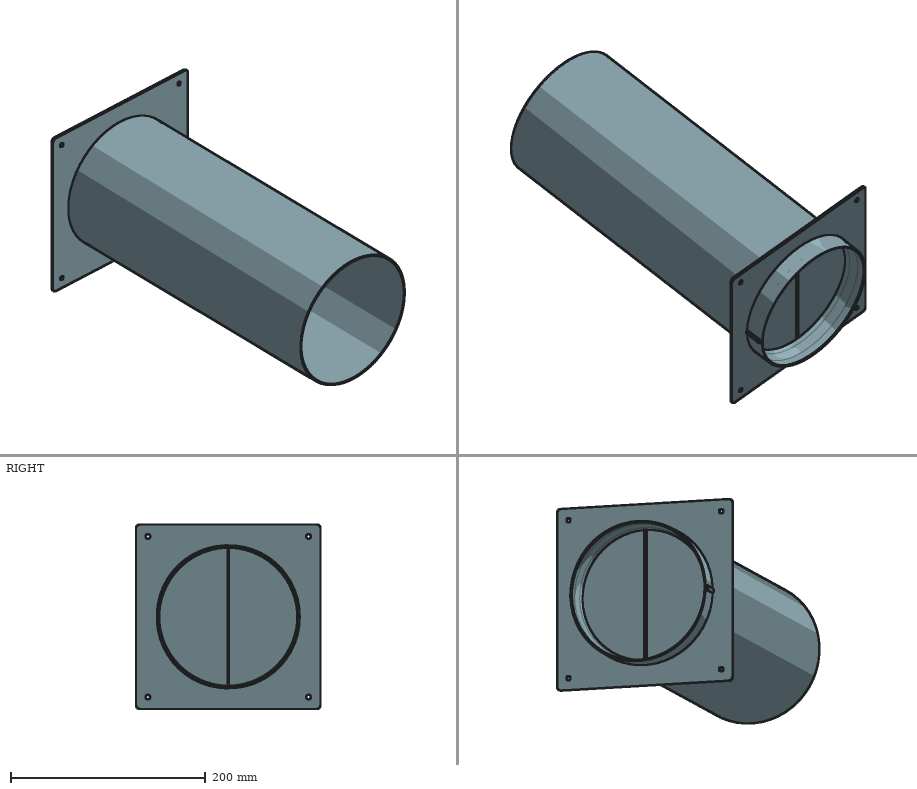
import cadquery as cq

total_length = 374
flange_side = 190.0

plate_front = 22.0
plate_thickness = 2.2
plate_back = plate_front + plate_thickness
corner_radius = 4.0
screw_hole_diameter = 4.5
screw_hole_spacing = 165.3

tube_radius = 73.5
tube_wall = 1.5
tube_inner_radius = tube_radius - tube_wall

collar_front_radius = 73.3
collar_root_radius = 73.5

rim_chamfer_width = 1.0
rim_chamfer_depth = 0.7
mouth_radius = 71.8
mouth_depth = 9.5
bend_radius = 69.5
bend_depth = 19.0
seat_radius = 68.0

ridge_radius = 3.0
ridge_height = 1.3
ridge_front = 0.7
ridge_lead_length = 3.5
ridge_tip_radius = 2.0
ridge_axis_offset = collar_root_radius + ridge_height - ridge_radius

flap_radius = 71
flap_thickness = 2.2
flap_edge_chamfer = 1.3
flap_gap = 0.7


def disc(radius, front, back):
    """Round disc about the X axis, between two X positions."""
    return cq.Workplane("YZ", origin=(front, 0, 0)).circle(radius).extrude(back - front)


def make_plate():
    plate = (
        cq.Workplane("YZ", origin=(plate_front, 0, 0))
        .rect(flange_side, flange_side)
        .extrude(plate_thickness)
        .edges("|X")
        .fillet(corner_radius)
    )
    holes = (
        cq.Workplane("YZ", origin=(plate_front, 0, 0))
        .rect(screw_hole_spacing, screw_hole_spacing, forConstruction=True)
        .vertices()
        .circle(screw_hole_diameter / 2)
        .extrude(plate_thickness)
    )
    return plate.cut(holes)


def make_collar():
    """Slightly tapered collar before it is bored out."""
    outline = [(0, 0), (0, collar_front_radius), (plate_front, collar_root_radius), (plate_front, 0)]
    return cq.Workplane("XZ").polyline(outline).close().revolve(360, (0, 0, 0), (1, 0, 0))


def make_ridge(side):
    """Round locking ridge along X with a tapered lead-in; side is +1 or -1 along Y."""
    ridge_start = ridge_front + ridge_lead_length
    outline = [
        (ridge_front, 0),
        (ridge_front, ridge_tip_radius),
        (ridge_start, ridge_radius),
        (plate_front, ridge_radius),
        (plate_front, 0),
    ]
    ridge = cq.Workplane("XZ").polyline(outline).close().revolve(360, (0, 0, 0), (1, 0, 0))
    return ridge.translate((0, side * ridge_axis_offset, 0))


def make_bore():
    """Opening through collar and plate: chamfered straight mouth, then two tangent arcs down to the seat."""
    return (
        cq.Workplane("XZ")
        .lineTo(0, mouth_radius + rim_chamfer_width)
        .lineTo(rim_chamfer_depth, mouth_radius)
        .lineTo(mouth_depth, mouth_radius)
        .tangentArcPoint((bend_depth, bend_radius), relative=False)
        .tangentArcPoint((plate_back, seat_radius), relative=False)
        .lineTo(plate_back, 0)
        .close()
        .revolve(360, (0, 0, 0), (1, 0, 0))
    )


def make_flange():
    flange = make_plate().union(make_collar())
    for side in (1, -1):
        flange = flange.union(make_ridge(side))
    return flange.cut(make_bore())


def make_tube():
    return disc(tube_radius, plate_back, total_length).cut(disc(tube_inner_radius, plate_back, total_length))


def make_flap(side):
    """Half disc with its straight edge chamfered in front; side is +1 or -1 along Y."""
    flap_back = plate_back + flap_thickness
    edge = flap_gap / 2
    profile = [
        (plate_back, side * (edge + flap_edge_chamfer)),
        (plate_back + flap_edge_chamfer, side * edge),
        (flap_back, side * edge),
        (flap_back, side * flap_radius),
        (plate_back, side * flap_radius),
    ]
    half = cq.Workplane("XY").polyline(profile).close().extrude(flap_radius, both=True)
    return disc(flap_radius, plate_back, flap_back).intersect(half)


flange = make_flange()
tube = make_tube()
flaps = [make_flap(side) for side in (1, -1)]

result = cq.Compound.makeCompound([flange.val(), tube.val(), *[flap.val() for flap in flaps]])